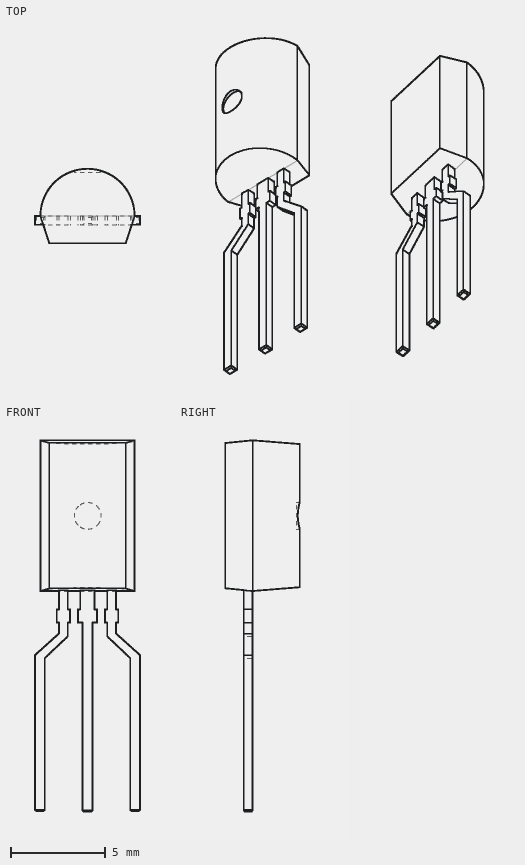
import cadquery as cq
import math

total_height = 19.7
body_height = 8.0
body_radius = 2.5
flat_depth = 1.45
flat_half_width = 2.03
front_end_draft = 5.7
back_end_draft = 4.6

dimple_radius = 0.7
dimple_depth = 0.2

lead_thickness = 0.47
leg_width = 0.53
leg_span = 5.58
tip_chamfer = 0.08
shoulder_top = 10.74
shoulder_bottom = 10.03
lead_embed = 0.4

centre_neck_width = 0.77
centre_shoulder_width = 1.02

outer_tip_z = 0.04
outer_neck_width = 0.47
outer_neck_x = 1.28
outer_shoulder_width = 0.7
bend_top = 9.38
bend_bottom = 8.23
bend_offset = 0.08

body_bottom = total_height - body_height
body_middle = total_height - body_height / 2
lead_top = body_bottom + lead_embed
leg_x = (leg_span - leg_width) / 2


def make_body():
    plan = (
        cq.Workplane("XY")
        .workplane(offset=body_bottom)
        .moveTo(-body_radius, 0)
        .threePointArc((0, body_radius), (body_radius, 0))
        .lineTo(flat_half_width, -flat_depth)
        .lineTo(-flat_half_width, -flat_depth)
        .close()
        .extrude(body_height)
    )
    front_drop = flat_depth * math.tan(math.radians(front_end_draft))
    back_drop = body_radius * math.tan(math.radians(back_end_draft))
    side_profile = (
        cq.Workplane("YZ")
        .polyline([
            (-flat_depth, body_bottom + front_drop),
            (0, body_bottom),
            (body_radius, body_bottom + back_drop),
            (body_radius, total_height - back_drop),
            (0, total_height),
            (-flat_depth, total_height - front_drop),
        ])
        .close()
        .extrude(body_radius, both=True)
    )
    dimple = (
        cq.Workplane("XZ", origin=(0, body_radius, body_middle))
        .circle(dimple_radius)
        .extrude(dimple_depth)
    )
    return plan.intersect(side_profile).cut(dimple)


def lead_plate(points):
    """Flat lead cut from sheet, with its lower tip chamfered all round."""
    plate = cq.Workplane("XZ").polyline(points).close().extrude(lead_thickness)
    return plate.faces("<Z").edges().chamfer(tip_chamfer)


def lead_block(x, width, bottom, top):
    return (
        cq.Workplane("XY")
        .box(width, lead_thickness, top - bottom, centered=(True, False, False))
        .translate((x, -lead_thickness, bottom))
    )


def make_centre_lead():
    half_leg = leg_width / 2
    leg = lead_plate([
        (-half_leg, 0),
        (half_leg, 0),
        (half_leg, lead_top),
        (-half_leg, lead_top),
    ])
    neck = lead_block(0, centre_neck_width, shoulder_bottom, lead_top)
    shoulder = lead_block(0, centre_shoulder_width, shoulder_bottom, shoulder_top)
    return leg.union(neck).union(shoulder)


def make_right_lead():
    leg_inner = leg_x - leg_width / 2
    leg_outer = leg_x + leg_width / 2
    neck_inner = outer_neck_x - outer_neck_width / 2
    neck_outer = outer_neck_x + outer_neck_width / 2
    lead = lead_plate([
        (leg_inner, outer_tip_z),
        (leg_outer, outer_tip_z),
        (leg_outer, bend_bottom + bend_offset),
        (neck_outer, bend_top + bend_offset),
        (neck_outer, lead_top),
        (neck_inner, lead_top),
        (neck_inner, bend_top - bend_offset),
        (leg_inner, bend_bottom - bend_offset),
    ])
    shoulder = lead_block(outer_neck_x, outer_shoulder_width, shoulder_bottom, shoulder_top)
    return lead.union(shoulder)


right_lead = make_right_lead()
left_lead = right_lead.mirror("YZ")

result = make_body().union(make_centre_lead()).union(right_lead).union(left_lead)